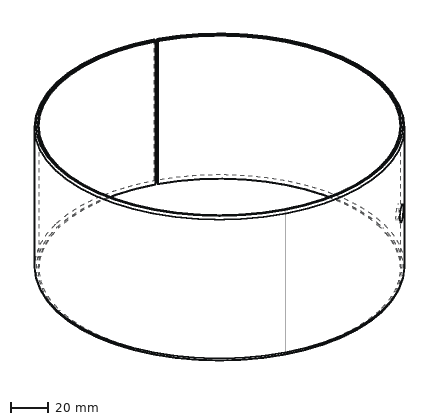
import cadquery as cq

outer_diameter = 200.0
height = 90.0
wall = 2.5
outer_chamfer_height = 1.8
outer_chamfer_depth = 0.8
inner_chamfer = 0.5
slit_width = 1.5
slit_center_y = slit_width / 2
hole_diameter = 10.0
hole_angle = 59.0

outer_radius = outer_diameter / 2
inner_radius = outer_radius - wall


def ring_body():
    """Thin wall with inner and outer rims chamfered, revolved about Z."""
    outer_rim_radius = outer_radius - outer_chamfer_depth
    inner_rim_radius = inner_radius + inner_chamfer
    profile = [
        (inner_rim_radius, 0),
        (outer_rim_radius, 0),
        (outer_radius, outer_chamfer_height),
        (outer_radius, height - outer_chamfer_height),
        (outer_rim_radius, height),
        (inner_rim_radius, height),
        (inner_radius, height - inner_chamfer),
        (inner_radius, inner_chamfer),
    ]
    return cq.Workplane("XZ").polyline(profile).close().revolve(360, (0, 0), (0, 1))


def slit_cutter():
    """Narrow block that splits the -X side over the full height."""
    return (
        cq.Workplane("XY")
        .center(-outer_radius, slit_center_y)
        .rect(outer_radius, slit_width)
        .extrude(height)
    )


def hole_cutter():
    """Radial cylinder through one wall at mid-height."""
    return (
        cq.Workplane("YZ")
        .center(0, height / 2)
        .circle(hole_diameter / 2)
        .extrude(outer_diameter)
        .rotate((0, 0, 0), (0, 0, 1), hole_angle)
    )


result = ring_body().cut(slit_cutter()).cut(hole_cutter())